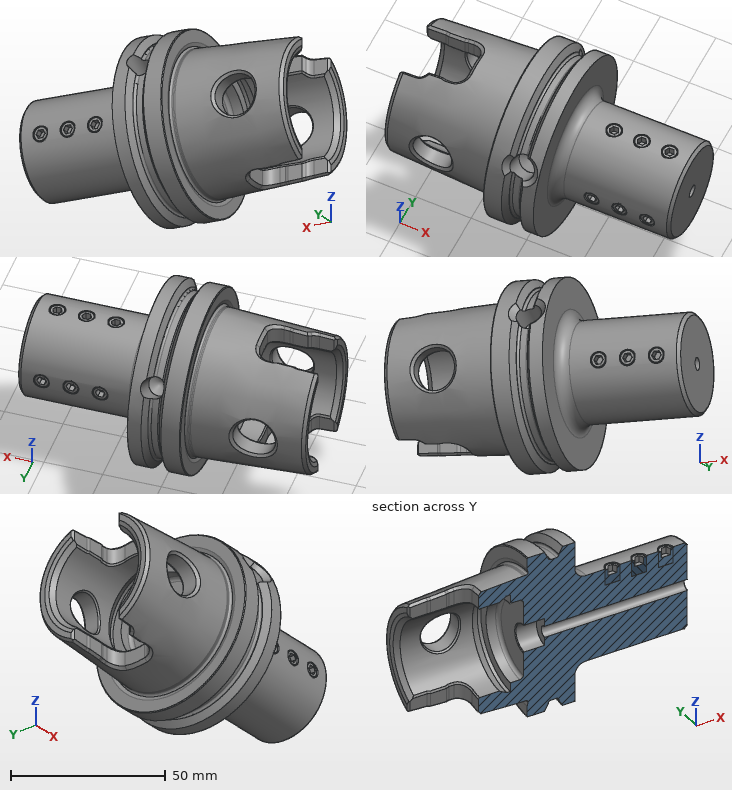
import cadquery as cq
import math


TOTAL_LENGTH = 99.95
SHANK_LENGTH = 39.8
SHANK_END = -SHANK_LENGTH
NOSE_END = TOTAL_LENGTH - SHANK_LENGTH

TAPER_PER_LENGTH = 0.05
SHANK_BASE_RADIUS = 25.0
SHANK_TIP_RADIUS = SHANK_BASE_RADIUS - TAPER_PER_LENGTH * SHANK_LENGTH
TIP_CHAMFER = 1.2
TIP_CHAMFER_HEIGHT = 0.8

RELIEF_START = -1.4
RELIEF_NECK_START = -0.9
RELIEF_NECK_RADIUS = 24.9
RECESS_FILLET = 0.8
RECESS_DEPTH = 0.4
RECESS_RIM_RADIUS = 27.0

FLANGE_RADIUS = 31.5
FLANGE_LENGTH = 18.1
FLANGE_CHAMFER = 0.3
GRIP_CENTER = 10.0
GRIP_FLOOR_RADIUS = 27.9
GRIP_MOUTH_HALF_WIDTH = 3.4
GRIP_FLOOR_HALF_WIDTH = 1.9
GRIP_WALL_ANGLE = 30.0
GRIP_FILLET = 0.8

NOSE_RADIUS = 17.0
NOSE_FILLET = 4.0
NOSE_CHAMFER = 1.1

BORE_RIM_RADIUS = 20.2
BORE_MOUTH_RADIUS = 18.8
BORE_MOUTH_DEPTH = 0.5
BORE_RADIUS = 17.4
BORE_LEAD_DEPTH = 2.3
BORE_DEPTH = 29.4
BORE_GROOVE_RADIUS = 19.0
BORE_GROOVE_ANGLE = 30.0
BORE_SHOULDER_DEPTH = 33.5
BORE_END_RADIUS = 15.6
BORE_END_DEPTH = 38.4
BORE_END_FILLET = 1.3
INNER_EDGE_CHAMFER = 0.5

COUNTERBORE_RADIUS = 5.2
COUNTERBORE_CHAMFER = 0.3
COUNTERBORE_DEPTH = 8.0
CENTER_HOLE_RADIUS = 2.1

OVERRUN = 3.0
SLOT_LENGTH = 21.5
SLOT_CORNER_RADIUS = 4.2
SLOT_HALF_WIDTH = 8.3
SLOT_LAND_HALF_WIDTH = 8.0
SLOT_LAND_START = 9.0
SLOT_LAND_END = 14.2
SLOT_RAMP = 1.1
SLOT_MOUTH_HALF_WIDTH = 10.3
SLOT_MOUTH_LENGTH = 7.2
SLOT_MOUTH_FILLET = 3.0
SLOT_CHAMFER = 1.1
SLOT_FLARE = 0.8

CROSS_HOLE_DEPTH = 17.4
CROSS_HOLE_RADIUS = 7.15
CROSS_HOLE_CHAMFER = 1.0

NOTCH_X = 11.2
NOTCH_ELEVATION = 30.0
NOTCH_FRONT_RADIUS = 4.3
NOTCH_BACK_RADIUS = 3.7
NOTCH_SINK_RADIUS = 6.3
NOTCH_SINK_DEPTH = 2.1
NOTCH_FLOOR_RADIUS = 21.4
DRILL_POINT_ANGLE = 118.0

SCREW_FIRST_X = 32.1
SCREW_PITCH = 10.0
SCREWS_PER_ROW = 3
SCREW_ROW_ANGLES = (0, 90, 180)
SCREW_RADIUS = 2.7
SCREW_CHAMFER = 0.35
SCREW_LENGTH = 6.0
SCREW_TOP_RADIUS = 16.7
SOCKET_ACROSS_FLATS = 2.8
SOCKET_DEPTH = 2.5


def turned(points):
    """Solid of revolution about X from (x, radius) points."""
    return cq.Workplane("XZ").polyline(points).close().revolve(360, (0, 0), (1, 0))


def make_taper():
    """Plain tapered cone, running past the open end so that edge bevels run out cleanly."""
    tip = SHANK_END - OVERRUN
    return turned([
        (tip, 0),
        (tip, SHANK_BASE_RADIUS + TAPER_PER_LENGTH * tip),
        (RELIEF_START, SHANK_BASE_RADIUS + TAPER_PER_LENGTH * RELIEF_START),
        (RELIEF_NECK_START, RELIEF_NECK_RADIUS),
        (RECESS_DEPTH, RELIEF_NECK_RADIUS),
        (RECESS_DEPTH, 0),
    ])


def slot_prism():
    """Upright prism that cuts both drive slots at once."""
    outline = [
        (-OVERRUN - 1, -SLOT_MOUTH_HALF_WIDTH),
        (SLOT_MOUTH_LENGTH, -SLOT_MOUTH_HALF_WIDTH),
        (SLOT_LAND_START, -SLOT_LAND_HALF_WIDTH),
        (SLOT_LAND_END, -SLOT_LAND_HALF_WIDTH),
        (SLOT_LAND_END + SLOT_RAMP, -SLOT_HALF_WIDTH),
        (SLOT_LENGTH, -SLOT_HALF_WIDTH),
        (SLOT_LENGTH, SLOT_HALF_WIDTH),
        (SLOT_LAND_END + SLOT_RAMP, SLOT_HALF_WIDTH),
        (SLOT_LAND_END, SLOT_LAND_HALF_WIDTH),
        (SLOT_MOUTH_LENGTH + SLOT_RAMP, SLOT_LAND_HALF_WIDTH),
        (SLOT_MOUTH_LENGTH, SLOT_HALF_WIDTH),
        (-OVERRUN - 1, SLOT_HALF_WIDTH),
    ]
    prism = (
        cq.Workplane("XY", origin=(SHANK_END, 0, -FLANGE_RADIUS))
        .polyline(outline).close().extrude(2 * FLANGE_RADIUS)
    )
    mouth_corner = cq.selectors.NearestToPointSelector((SHANK_END + SLOT_MOUTH_LENGTH, -SLOT_MOUTH_HALF_WIDTH, 0))
    prism = prism.edges("|Z").edges(mouth_corner).fillet(SLOT_MOUTH_FILLET)
    return prism.edges("|Z and >X").fillet(SLOT_CORNER_RADIUS)


def cut_drive_slots(shank):
    """Cut both slots and bevel their outer edges."""
    shank = shank.cut(slot_prism())
    rims = [
        edge for edge in shank.faces("%CONE").edges().vals()
        if SHANK_END - OVERRUN < edge.Center().x < -SHANK_LENGTH / 4 and abs(edge.Center().z) > SHANK_TIP_RADIUS / 2
    ]
    rims = [edge for edge in rims if edge.BoundingBox().xmin > SHANK_END - OVERRUN - 0.1]
    return cq.Workplane(shank.val().chamfer(SLOT_CHAMFER, None, rims))


def cut_cross_hole(shank):
    """Drill the cross hole along Y and bevel its outer edges."""
    hole_x = SHANK_END + CROSS_HOLE_DEPTH
    hole = (
        cq.Workplane("XZ", origin=(hole_x, FLANGE_RADIUS, 0))
        .circle(CROSS_HOLE_RADIUS).extrude(2 * FLANGE_RADIUS)
    )
    shank = shank.cut(hole)
    reach = CROSS_HOLE_RADIUS + 0.5
    for side in (-1, 1):
        near, far = sorted((side * BORE_RADIUS, side * FLANGE_RADIUS))
        around_hole = cq.selectors.BoxSelector((hole_x - reach, near, -reach), (hole_x + reach, far, reach), True)
        shank = shank.edges(around_hole).chamfer(CROSS_HOLE_CHAMFER)
    return shank


def trim_shank_tip(shank):
    """Cut the overrun off and bevel the tip."""
    tip = SHANK_END - OVERRUN - 1
    outer = FLANGE_RADIUS
    rim = SHANK_TIP_RADIUS - TIP_CHAMFER_HEIGHT
    return shank.cut(turned([
        (tip, 0),
        (SHANK_END, 0),
        (SHANK_END, rim),
        (SHANK_END + TIP_CHAMFER, SHANK_TIP_RADIUS + TAPER_PER_LENGTH * TIP_CHAMFER),
        (SHANK_END + TIP_CHAMFER, outer),
        (tip, outer),
    ]))


def flare_slots(shank):
    """Bevel the corners between the slot walls and the end face."""
    wide = SLOT_FLARE
    flare = (
        cq.Workplane("XY", origin=(SHANK_END, 0, -FLANGE_RADIUS))
        .polyline([
            (0, -SLOT_MOUTH_HALF_WIDTH - wide),
            (wide, -SLOT_MOUTH_HALF_WIDTH),
            (wide, SLOT_HALF_WIDTH),
            (0, SLOT_HALF_WIDTH + wide),
        ])
        .close().extrude(2 * FLANGE_RADIUS)
    )
    return shank.cut(flare)


def bevel_inner_edges(shank):
    """Open the plain part of the bore and bevel where the slots and the cross hole enter it."""
    tip = SHANK_END - OVERRUN
    bore = turned([
        (tip, 0),
        (tip, BORE_RADIUS),
        (SHANK_END + BORE_DEPTH, BORE_RADIUS),
        (SHANK_END + BORE_DEPTH, 0),
    ])
    shank = shank.cut(bore)
    rims = [
        edge for edge in shank.edges().vals()
        if on_bore_wall(edge) and tip < edge.BoundingBox().xmax < SHANK_END + BORE_DEPTH - 1
        and (edge.BoundingBox().xmin > tip + 0.01 or edge.geomType() == "LINE")
    ]
    return cq.Workplane(shank.val().chamfer(INNER_EDGE_CHAMFER, None, rims))


def on_bore_wall(edge):
    """True when three points along the edge all lie at the bore radius."""
    points = edge.positions([0, 0.4, 1])
    return all(abs(math.hypot(point.y, point.z) - BORE_RADIUS) < 0.001 for point in points)


def cut_bore(body):
    """Flared mouth, plain bore, ramped groove, shoulder and round-cornered end."""
    shoulder = SHANK_END + BORE_SHOULDER_DEPTH
    end = SHANK_END + BORE_END_DEPTH
    ramp = (BORE_GROOVE_RADIUS - BORE_RADIUS) / math.tan(math.radians(BORE_GROOVE_ANGLE))
    profile = (
        cq.Workplane("XZ")
        .moveTo(SHANK_END, 0)
        .lineTo(SHANK_END, BORE_RIM_RADIUS)
        .lineTo(SHANK_END + BORE_MOUTH_DEPTH, BORE_MOUTH_RADIUS)
        .lineTo(SHANK_END + BORE_LEAD_DEPTH, BORE_RADIUS)
        .lineTo(SHANK_END + BORE_DEPTH, BORE_RADIUS)
        .lineTo(SHANK_END + BORE_DEPTH + ramp, BORE_GROOVE_RADIUS)
        .lineTo(shoulder, BORE_GROOVE_RADIUS)
        .lineTo(shoulder, BORE_END_RADIUS)
        .lineTo(end - BORE_END_FILLET, BORE_END_RADIUS)
        .radiusArc((end, BORE_END_RADIUS - BORE_END_FILLET), BORE_END_FILLET)
        .lineTo(end, 0)
    )
    return body.cut(profile.close().revolve(360, (0, 0), (1, 0)))


def cut_center_hole(body):
    """Counterbore in the bore end, and the small hole through to the nose face."""
    start = SHANK_END + BORE_END_DEPTH
    step = start + COUNTERBORE_DEPTH
    return body.cut(turned([
        (start, 0),
        (start, COUNTERBORE_RADIUS + COUNTERBORE_CHAMFER),
        (start + COUNTERBORE_CHAMFER, COUNTERBORE_RADIUS),
        (step, COUNTERBORE_RADIUS),
        (step, CENTER_HOLE_RADIUS),
        (NOSE_END, CENTER_HOLE_RADIUS),
        (NOSE_END, 0),
    ]))


def make_flange():
    """Flange disc with its gripper groove and face recess."""
    chamfer = FLANGE_CHAMFER
    flange = turned([
        (0, 0),
        (0, FLANGE_RADIUS - chamfer),
        (chamfer, FLANGE_RADIUS),
        (FLANGE_LENGTH, FLANGE_RADIUS),
        (FLANGE_LENGTH, 0),
    ])
    wall_height = (GRIP_MOUTH_HALF_WIDTH - GRIP_FLOOR_HALF_WIDTH) / math.tan(math.radians(GRIP_WALL_ANGLE))
    half_profile = [
        (GRIP_FLOOR_HALF_WIDTH, GRIP_FLOOR_RADIUS),
        (GRIP_FLOOR_HALF_WIDTH, FLANGE_RADIUS - wall_height),
        (GRIP_MOUTH_HALF_WIDTH, FLANGE_RADIUS),
    ]
    right = [(GRIP_CENTER + x, r) for x, r in half_profile]
    left = [(GRIP_CENTER - x, r) for x, r in reversed(half_profile)]
    outer = FLANGE_RADIUS + 1
    groove = turned(right + [(right[-1][0], outer), (left[0][0], outer)] + left)
    flange = flange.cut(groove)
    floor_edges = cq.selectors.BoxSelector(
        (GRIP_CENTER - 2, -GRIP_FLOOR_RADIUS - 0.1, -GRIP_FLOOR_RADIUS - 0.1),
        (GRIP_CENTER + 2, GRIP_FLOOR_RADIUS + 0.1, GRIP_FLOOR_RADIUS + 0.1),
        boundingbox=True,
    )
    flange = flange.edges(floor_edges).edges("%CIRCLE").fillet(GRIP_FILLET)
    return cut_face_recess(flange)


def cut_face_recess(flange):
    """Ring recess whose floor curves into the neck of the shank."""
    neck = RELIEF_NECK_RADIUS
    start = RECESS_DEPTH - RECESS_FILLET
    ring = (
        cq.Workplane("XZ")
        .moveTo(start, neck)
        .radiusArc((RECESS_DEPTH, neck + RECESS_FILLET), -RECESS_FILLET)
        .lineTo(0, RECESS_RIM_RADIUS)
        .lineTo(start, RECESS_RIM_RADIUS)
        .close().revolve(360, (0, 0), (1, 0))
    )
    collar = turned([
        (start, 0),
        (start, neck + RECESS_FILLET),
        (0, neck + RECESS_FILLET),
        (0, 0),
    ])
    return flange.union(collar).cut(ring)


def make_nose():
    """Cylindrical nose with a fillet at the flange and a chamfered end."""
    start = FLANGE_LENGTH
    return (
        cq.Workplane("XZ")
        .moveTo(start - 1, 0)
        .lineTo(start - 1, NOSE_RADIUS + NOSE_FILLET)
        .lineTo(start, NOSE_RADIUS + NOSE_FILLET)
        .radiusArc((start + NOSE_FILLET, NOSE_RADIUS), -NOSE_FILLET)
        .lineTo(NOSE_END - NOSE_CHAMFER, NOSE_RADIUS)
        .lineTo(NOSE_END, NOSE_RADIUS - NOSE_CHAMFER)
        .lineTo(NOSE_END, 0)
        .close().revolve(360, (0, 0), (1, 0))
    )


def aim(upright, x, angle):
    """Move an upright solid to x and swing it about X; the angle runs from -Y through +Z to +Y."""
    return upright.rotate((0, 0, 0), (1, 0, 0), 90 - angle).translate((x, 0, 0))


def cut_notch(body, elevation, radius):
    """Drill a radial notch with a conical bottom into the flange."""
    point = radius / math.tan(math.radians(DRILL_POINT_ANGLE / 2))
    floor = NOTCH_FLOOR_RADIUS
    top = FLANGE_RADIUS + 1
    drill = (
        cq.Workplane("XZ")
        .polyline([(0, floor - point), (radius, floor), (radius, top), (0, top)])
        .close().revolve(360, (0, 0), (0, 1))
    )
    return body.cut(aim(drill, NOTCH_X, elevation))


def cut_notch_sink(body, elevation):
    """Countersink the front notch."""
    outer = NOTCH_SINK_RADIUS
    inner = NOTCH_FRONT_RADIUS
    top = FLANGE_RADIUS
    slope = NOTCH_SINK_DEPTH / (outer - inner)
    over = 1.0
    sink = (
        cq.Workplane("XZ")
        .polyline([
            (0, top - NOTCH_SINK_DEPTH),
            (inner, top - NOTCH_SINK_DEPTH),
            (outer + over, top + over * slope),
            (0, top + over * slope),
        ])
        .close().revolve(360, (0, 0), (0, 1))
    )
    return body.cut(aim(sink, NOTCH_X, elevation))


def make_screw():
    """Upright set screw with a hexagon socket, at its distance from the axis."""
    screw = cq.Workplane("XY", origin=(0, 0, SCREW_TOP_RADIUS)).circle(SCREW_RADIUS).extrude(-SCREW_LENGTH)
    screw = screw.faces(">Z").edges().chamfer(SCREW_CHAMFER)
    corner_diameter = SOCKET_ACROSS_FLATS / math.cos(math.radians(30))
    return screw.faces(">Z").workplane().polygon(6, corner_diameter).cutBlind(-SOCKET_DEPTH)


def make_screw_hole():
    """Upright blind hole that a set screw fills from its bottom."""
    bottom = SCREW_TOP_RADIUS - SCREW_LENGTH
    return cq.Workplane("XY", origin=(0, 0, bottom)).circle(SCREW_RADIUS).extrude(FLANGE_RADIUS - bottom)


def at_screw_places(upright):
    """Copies of an upright solid at every set screw position."""
    xs = [SCREW_FIRST_X + i * SCREW_PITCH for i in range(SCREWS_PER_ROW)]
    return [aim(upright, x, angle) for angle in SCREW_ROW_ANGLES for x in xs]


def make_holder():
    """The whole tool holder as one solid."""
    shank = cut_cross_hole(cut_drive_slots(make_taper()))
    shank = flare_slots(trim_shank_tip(bevel_inner_edges(shank)))
    holder = shank.union(make_flange()).union(make_nose())
    holder = cut_center_hole(cut_bore(holder))
    holder = cut_notch(holder, NOTCH_ELEVATION, NOTCH_FRONT_RADIUS)
    holder = cut_notch_sink(holder, NOTCH_ELEVATION)
    holder = cut_notch(holder, 180 - NOTCH_ELEVATION, NOTCH_BACK_RADIUS)
    for hole in at_screw_places(make_screw_hole()):
        holder = holder.cut(hole)
    return holder


holder = make_holder()
screws = at_screw_places(make_screw())
result = cq.Compound.makeCompound([holder.val(), *[screw.val() for screw in screws]])